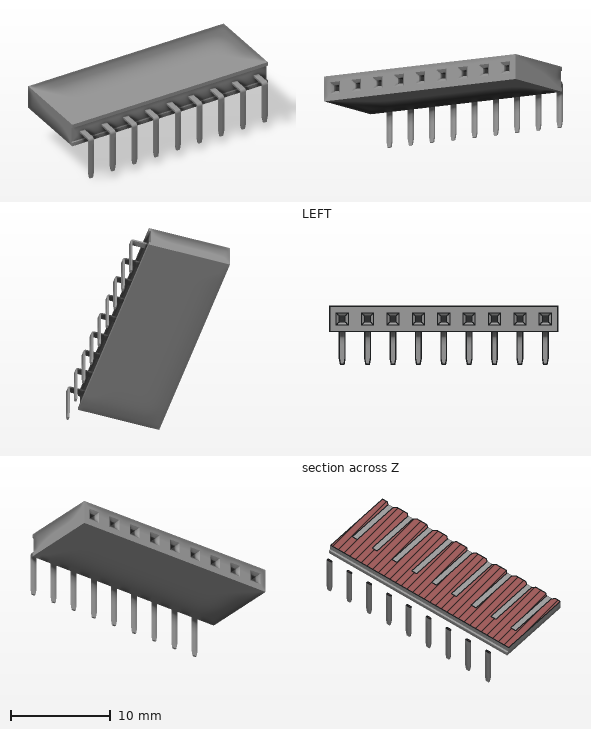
import cadquery as cq

positions = 9
length = 22.85
pitch = length / positions
depth = 8.53
height = pitch
overall_height = 5.83

recess_depth = 0.2
lip_height = 0.41

mouth_size = 1.21
bore_size = 0.6
lead_in_depth = 0.3
bore_depth = 6.0

pin_width = bore_size
pin_thickness = 0.2
pin_reach = 10.13
pin_bottom = height - overall_height
bend_radius = 0.3
tip_width = 0.37
tip_length = 0.6
pin_start = bore_depth / 2

middle_z = height / 2
recess_x = depth - recess_depth


def make_housing():
    block = cq.Workplane("XY").box(depth, length, height, centered=(False, True, False))
    recess = cq.Workplane("XY").box(
        recess_depth, length, height - 2 * lip_height, centered=(False, True, False)
    )
    return block.cut(recess.translate((recess_x, 0, lip_height)))


def make_socket(y):
    lead_in = (
        cq.Workplane("YZ", origin=(0, y, middle_z))
        .rect(mouth_size, mouth_size)
        .workplane(offset=lead_in_depth)
        .rect(bore_size, bore_size)
        .loft(ruled=True)
    )
    bore = cq.Workplane("YZ", origin=(0, y, middle_z)).rect(bore_size, bore_size).extrude(bore_depth)
    return lead_in.union(bore)


def make_pin(y):
    top = middle_z + pin_thickness / 2
    bottom = middle_z - pin_thickness / 2
    inner_x = pin_reach - pin_thickness
    strip = (
        cq.Workplane("XZ", origin=(0, y, 0))
        .moveTo(pin_start, top)
        .lineTo(pin_reach - bend_radius, top)
        .radiusArc((pin_reach, top - bend_radius), bend_radius)
        .lineTo(pin_reach, pin_bottom)
        .lineTo(inner_x, pin_bottom)
        .lineTo(inner_x, bottom)
        .lineTo(pin_start, bottom)
        .close()
        .extrude(pin_width / 2, both=True)
    )
    half_width = pin_width / 2
    half_tip = tip_width / 2
    outline = (
        cq.Workplane("YZ", origin=(0, y, 0))
        .polyline([
            (-half_width, top),
            (-half_width, pin_bottom + tip_length),
            (-half_tip, pin_bottom),
            (half_tip, pin_bottom),
            (half_width, pin_bottom + tip_length),
            (half_width, top),
        ])
        .close()
        .extrude(pin_reach)
    )
    return strip.intersect(outline)


result = make_housing()
for index in range(positions):
    socket_y = (index - (positions - 1) / 2) * pitch
    result = result.cut(make_socket(socket_y)).union(make_pin(socket_y))